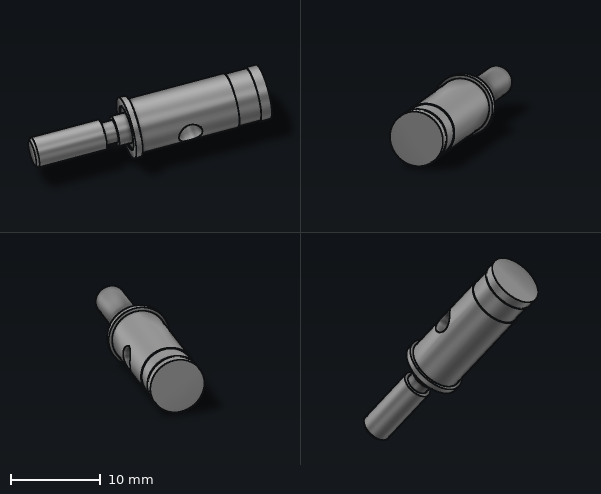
import cadquery as cq

pin_diameter = 3.5
pin_groove_diameter = 2.6
flange_diameter = 7.1
body_diameter = 6.3
waist_diameter = 6.1
recess_diameter = 5.1

groove_start = 8.25
groove_end = 9.7
flange_front = 11.1
flange_back = 11.85
waist_start = 23.4
waist_end = 25.95
total_length = 27.2

tip_chamfer = 0.3
recess_depth = 0.2

side_hole_diameter = 2.77
side_hole_position = 17.63


def cylinder(diameter, start, end):
    """Solid cylinder on the Y axis, from start to end."""
    section = cq.Workplane("XZ", origin=(0, start, 0)).circle(diameter / 2)
    return section.extrude(start - end)


def make_pin():
    """Pin with a chamfered tip and a groove, reaching the floor of the flange recess."""
    recess_floor = flange_front + recess_depth
    pin = cylinder(pin_diameter, 0, groove_start).faces("<Y").chamfer(tip_chamfer)
    neck = cylinder(pin_groove_diameter, groove_start, groove_end)
    shoulder = cylinder(pin_diameter, groove_end, recess_floor)
    return pin.union(neck).union(shoulder)


def make_body():
    """Flanged body with a recessed front face and a narrow waist near the back."""
    flange = cylinder(flange_diameter, flange_front, flange_back)
    barrel = cylinder(body_diameter, flange_back, waist_start)
    waist = cylinder(waist_diameter, waist_start, waist_end)
    cap = cylinder(body_diameter, waist_end, total_length)
    recess = cylinder(recess_diameter, flange_front, flange_front + recess_depth)
    return flange.union(barrel).union(waist).union(cap).cut(recess)


def make_side_hole():
    """Radial cutter running from the body axis out through the +X side."""
    section = cq.Workplane("YZ").center(side_hole_position, 0).circle(side_hole_diameter / 2)
    return section.extrude(body_diameter)


result = make_body().union(make_pin()).cut(make_side_hole())